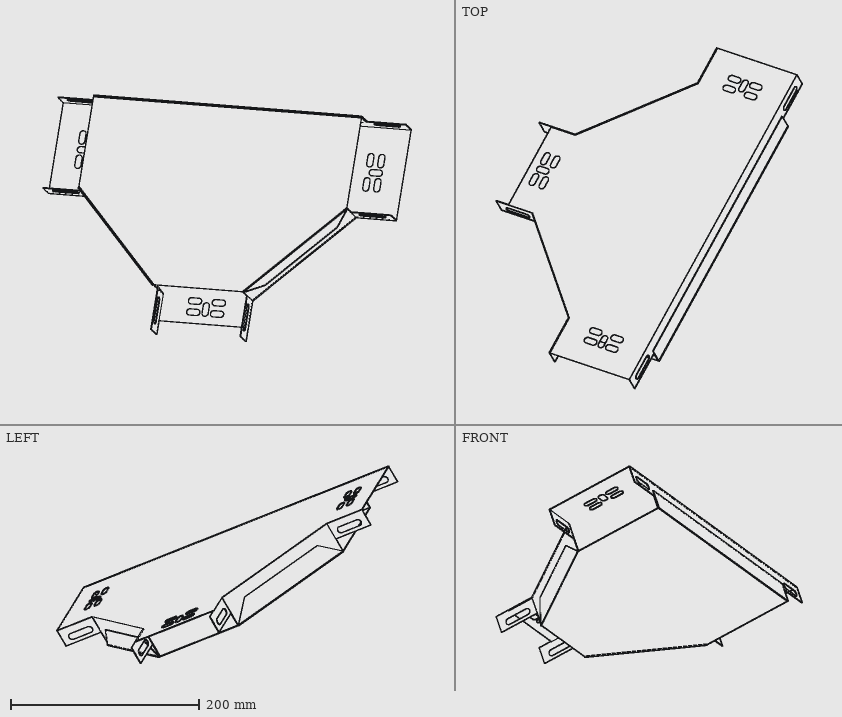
import cadquery as cq
import math

sheet = 1.0
run_width = 101.5
flare_size = 100.0
arm_length = 45.0
depth = 36.5
flare_x = run_width / 2 + flare_size
end_x = flare_x + arm_length
branch_y = run_width + flare_size
end_y = branch_y + arm_length

tab_height = 20.3
lip_length = 29.7

flap_height = 22.5

slot_length = 15.0
slot_width = 7.0
slot_row_inset = 33.7
slot_offset_along = 6.0
slot_offset_across = 13.5
middle_slot_inset = 31.5
tab_slot_length = 29.7
tab_slot_width = 7.3
tab_slot_inset = 23.2
tab_slot_depth = 12.7

turns = [((1, 0, 0), -28.9), ((0, 1, 0), 19.2), ((0, 0, 1), 61.2)]


def tee_outline():
    """Outline of the cover with all three arms at full length."""
    right = [
        (end_x, 0),
        (end_x, run_width),
        (flare_x, run_width),
        (run_width / 2, branch_y),
        (run_width / 2, end_y),
    ]
    left = [(-x, y) for x, y in reversed(right)]
    return right + left


def block(x_min, x_max, y_min, y_max, z_min, z_max):
    return cq.Workplane("XY").box(
        x_max - x_min, y_max - y_min, z_max - z_min, centered=False
    ).translate((x_min, y_min, z_min))


def cut_slot(body, x, y, angle):
    """Cut one plate slot whose length lies at `angle` from X."""
    slot = cq.Workplane("XY").center(x, y).slot2D(slot_length, slot_width, angle)
    return body.cut(slot.extrude(-2 * sheet))


def cut_tab_slots(body, origin, direction, normal):
    """Cut a long slot along `direction` through both tabs of an arm."""
    plane = cq.Plane(origin=origin, xDir=direction, normal=normal)
    cutter = cq.Workplane(plane).slot2D(tab_slot_length, tab_slot_width)
    return body.cut(cutter.extrude(run_width, both=True))


def make_cover_shell():
    """Tee plate with downturned walls, deep between the arms and cut to tabs along them."""
    wall_bottom = sheet - depth
    outer = cq.Workplane("XY").polyline(tee_outline()).close()
    cover = outer.extrude(wall_bottom)
    inner = cq.Workplane("XY").workplane(offset=-sheet).polyline(tee_outline()).close()
    cover = cover.cut(inner.offset2D(-sheet, "intersection").extrude(-depth))

    half_gap = run_width / 2 - sheet
    for side in (-1, 1):
        x_end = side * end_x
        x_inner = x_end - side * sheet
        x_flare = side * flare_x
        mouth = (min(x_end, x_inner), max(x_end, x_inner))
        arm = (min(x_end, x_flare), max(x_end, x_flare))
        cover = cover.cut(block(*mouth, sheet, run_width - sheet, -depth, -sheet))
        cover = cover.cut(block(*arm, 0, run_width, -depth, -tab_height))
    cover = cover.cut(block(-half_gap, half_gap, branch_y + lip_length, end_y, -depth, 0))
    return cover.cut(block(-run_width / 2, run_width / 2, branch_y, end_y, -depth, -tab_height))


def cut_plate_slots(cover):
    """Cut five plate slots on each arm, the middle one turned square to the other four."""
    for side in (-1, 1):
        row_x = side * (end_x - slot_row_inset)
        for along in (-1, 1):
            for across in (-1, 1):
                x = row_x + along * slot_offset_along
                y = run_width / 2 + across * slot_offset_across
                cover = cut_slot(cover, x, y, 90)
        cover = cut_slot(cover, side * (end_x - middle_slot_inset), run_width / 2, 0)
    for along in (-1, 1):
        for across in (-1, 1):
            y = end_y - slot_row_inset + along * slot_offset_along
            cover = cut_slot(cover, across * slot_offset_across, y, 0)
    return cut_slot(cover, 0, end_y - middle_slot_inset, 90)


def make_cover():
    """Upper sheet: slotted tee plate with downturned walls that end in slotted tabs."""
    cover = cut_plate_slots(make_cover_shell())
    for side in (-1, 1):
        origin = (side * (end_x - tab_slot_inset), run_width / 2, -tab_slot_depth)
        cover = cut_tab_slots(cover, origin, (1, 0, 0), (0, 1, 0))
    origin = (0, end_y - tab_slot_inset, -tab_slot_depth)
    return cut_tab_slots(cover, origin, (0, 1, 0), (1, 0, 0))


def make_flap(start, end, taper):
    """Upturned flap whose inner face stands on the line from `start` to `end`.

    Above a foot as tall as the sheet, each end leans in by `taper`.
    """
    dx = end[0] - start[0]
    dy = end[1] - start[1]
    length = math.hypot(dx, dy)
    plane = cq.Plane(
        origin=(start[0], start[1], -depth), xDir=(dx, dy, 0), normal=(dy, -dx, 0)
    )
    profile = [
        (0, 0),
        (length, 0),
        (length, sheet),
        (length - taper, flap_height),
        (taper, flap_height),
        (0, sheet),
    ]
    return cq.Workplane(plane).polyline(profile).close().extrude(sheet)


def make_tray():
    """Lower sheet: floor under the cover with flaps outside the back and flare walls."""
    back_left = (-flare_x, 0)
    back_right = (flare_x, 0)
    run_right = (flare_x, run_width)
    branch_right = (run_width / 2, branch_y)
    branch_left = (-run_width / 2, branch_y)
    run_left = (-flare_x, run_width)
    outline = [back_left, back_right, run_right, branch_right, branch_left, run_left]
    tray = cq.Workplane("XY").workplane(offset=-depth).polyline(outline).close().extrude(sheet)
    back_flap = make_flap(back_left, back_right, 0)
    right_flap = make_flap(run_right, branch_right, flap_height - sheet)
    left_flap = make_flap(branch_left, run_left, flap_height - sheet)
    for flap in (back_flap, right_flap, left_flap):
        tray = tray.union(flap)
    return tray


def tilt(body):
    """Turn a body from the local axes into its final attitude."""
    for axis, angle in turns:
        body = body.rotate((0, 0, 0), axis, angle)
    return body


cover = tilt(make_cover())
tray = tilt(make_tray())
result = cq.Compound.makeCompound([cover.val(), tray.val()])